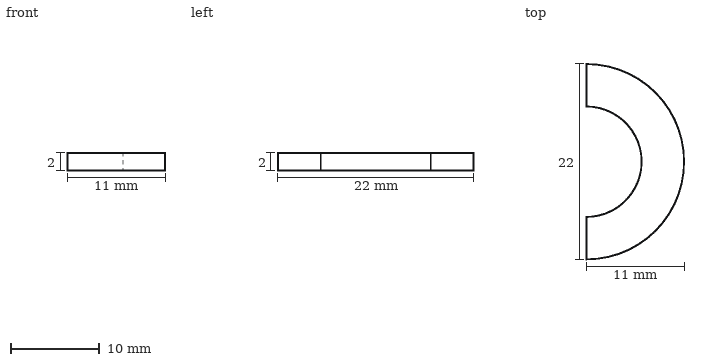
import cadquery as cq

outer_radius = 11.0
inner_radius = 6.2
thickness = 2.0


def half_ring():
    """Flat half ring on the +X side of the Z axis, with both cut ends on the YZ plane."""
    return (
        cq.Workplane("XY")
        .moveTo(0, -outer_radius)
        .threePointArc((outer_radius, 0), (0, outer_radius))
        .lineTo(0, inner_radius)
        .threePointArc((inner_radius, 0), (0, -inner_radius))
        .close()
        .extrude(thickness)
    )


result = half_ring()